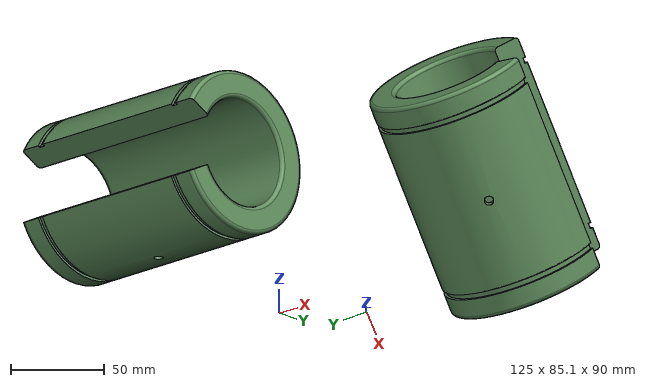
import cadquery as cq
import math

length = 125.0
outer_diameter = 90.0
bore_diameter = 60.0
edge_radius = 2.0
groove_width = 3.0
groove_depth = 1.5
groove_inset = 12.0
slot_half_angle = 27.0
pin_hole_diameter = 5.0
pin_hole_depth = 5.0

outer_radius = outer_diameter / 2


def tube(outer, inner, width, start):
    """Ring about the X axis, from x = start to x = start + width."""
    return (
        cq.Workplane("YZ", origin=(start, 0, 0))
        .circle(outer)
        .circle(inner)
        .extrude(width)
    )


def slot_wedge():
    """Wedge with its tip on the axis that opens the bushing toward -Y."""
    reach = 2 * outer_radius
    half_opening = reach * math.tan(math.radians(slot_half_angle))
    return (
        cq.Workplane("YZ")
        .polyline([(0, 0), (-reach, half_opening), (-reach, -half_opening)])
        .close()
        .extrude(length, both=True)
    )


body = tube(outer_radius, bore_diameter / 2, length, -length / 2)
body = body.faces("<X or >X").edges().fillet(edge_radius)

far_groove_start = length / 2 - groove_inset - groove_width
for start in (-length / 2 + groove_inset, far_groove_start):
    body = body.cut(
        tube(outer_radius + groove_depth, outer_radius - groove_depth, groove_width, start)
    )

pin_hole = (
    cq.Workplane("XY", origin=(0, 0, -outer_radius))
    .circle(pin_hole_diameter / 2)
    .extrude(pin_hole_depth)
)
body = body.cut(pin_hole)

result = body.cut(slot_wedge())